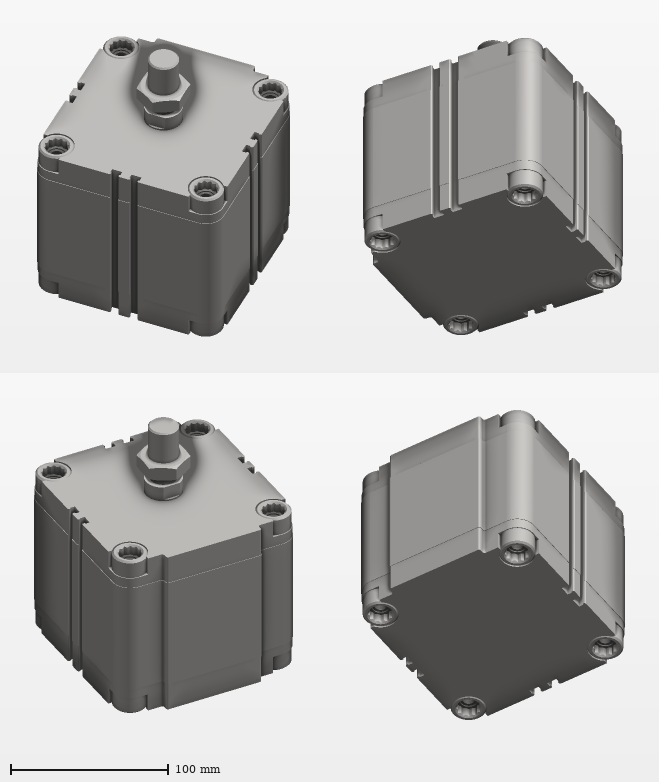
import cadquery as cq
import math

total_height = 166.5
body_width = 128.0
body_height = 116.5
half_width = body_width / 2

cap_height = 19.5
cap_inset = 0.3
screw_offset = 51.6
corner_radius = half_width - screw_offset

rail_height = 5.0
rail_width = 69.0
rail_fillet = 1.5

slot_offset = 6.7
slot_mouth = 5.3
slot_width = 7.0
slot_lip = 2.3
slot_depth = 5.5
slot_mouth_chamfer = 0.7
slot_sides = (-90, 0, 180)

head_diameter = 23.0
head_height = 12.3
head_chamfer = 1.2
pocket_wall = 45.0
socket_rim_diameter = 17.3
socket_tip_diameter = 16.0
socket_depth = 7.3
socket_points = 12
bore_diameter = 8.0
bore_step_diameter = 11.5
bore_step_depth = 0.8

collar_diameter = 25.0
collar_top = 126.9
flat_bottom = 117.7
flat_distance = 22.0
neck_diameter = 18.3
thread_diameter = 20.0
thread_bottom = 130.9
thread_chamfer = 1.0

nut_across_flats = 30.0
nut_height = 10.0
nut_bottom = 133.9
nut_face_diameter = 29.1
nut_chamfer_angle = 20.0


def rail_outline(face):
    """Section of the rail with rounded crests and rounded roots, standing on the +Y face."""
    side = rail_width / 2 - (half_width - face)
    crest = face + rail_height
    bend = rail_fillet * math.sqrt(0.5)
    root_mid = (side + rail_fillet - bend, face + rail_fillet - bend)
    crest_mid = (side - rail_fillet + bend, crest - rail_fillet + bend)
    return (
        cq.Workplane("XY")
        .moveTo(-side - rail_fillet, face)
        .threePointArc((-root_mid[0], root_mid[1]), (-side, face + rail_fillet))
        .lineTo(-side, crest - rail_fillet)
        .threePointArc((-crest_mid[0], crest_mid[1]), (-side + rail_fillet, crest))
        .lineTo(side - rail_fillet, crest)
        .threePointArc(crest_mid, (side, crest - rail_fillet))
        .lineTo(side, face + rail_fillet)
        .threePointArc(root_mid, (side + rail_fillet, face))
        .lineTo(side + rail_fillet, 0)
        .lineTo(-side - rail_fillet, 0)
        .close()
    )


def slot_cutter(face, height):
    """T-slot with a chamfered mouth, cut into the +X face and centred on the X axis."""
    floor = half_width - slot_depth
    lip = half_width - slot_lip
    half_mouth = slot_mouth / 2
    half_slot = slot_width / 2
    half_flare = half_mouth + slot_mouth_chamfer
    upper = [
        (floor, half_slot),
        (lip, half_slot),
        (lip, half_mouth),
        (face - slot_mouth_chamfer, half_mouth),
        (face, half_flare),
    ]
    lower = [(x, -y) for x, y in reversed(upper)]
    return cq.Workplane("XY").polyline(upper + lower).close().extrude(height)


def profile_block(inset, bottom, height):
    """Stretch of the slotted housing profile, its faces moved inwards by the inset."""
    face = half_width - inset
    block = (
        cq.Workplane("XY")
        .rect(2 * face, 2 * face)
        .extrude(height)
        .edges("|Z")
        .fillet(corner_radius - inset)
    )
    block = block.union(rail_outline(face).extrude(height))
    for angle in slot_sides:
        for offset in (-slot_offset, slot_offset):
            slot = slot_cutter(face, height).translate((0, offset, 0))
            block = block.cut(slot.rotate((0, 0, 0), (0, 0, 1), angle))
    return block.translate((0, 0, bottom))


def corner_pocket():
    """Counterbore that the screw head fills, opened to the outside by a square notch in the corner."""
    floor = body_height - head_height
    notch_size = half_width - pocket_wall
    notch = cq.Workplane("XY", origin=(pocket_wall, pocket_wall, floor)).box(
        notch_size, notch_size, head_height, centered=False
    )
    counterbore = (
        cq.Workplane("XY", origin=(screw_offset, screw_offset, floor))
        .circle(head_diameter / 2)
        .extrude(head_height)
    )
    return notch.union(counterbore)


def screw_head():
    """Chamfered cylindrical head in the +X +Y corner of the upper cap."""
    return (
        cq.Workplane("XY", origin=(screw_offset, screw_offset, body_height - head_height))
        .circle(head_diameter / 2)
        .extrude(head_height)
        .faces(">Z")
        .chamfer(head_chamfer)
    )


def socket_cutter():
    """Twelve-point socket: two crossed hexagons, a 45 degree conical rim and a bore step."""
    floor = body_height - socket_depth
    tip_radius = socket_tip_diameter / 2
    half_step = math.pi / socket_points
    root_radius = tip_radius * math.cos(math.pi / 6) / math.cos(half_step)
    star = []
    for i in range(2 * socket_points):
        radius = root_radius if i % 2 else tip_radius
        star.append((radius * math.cos(i * half_step), radius * math.sin(i * half_step)))
    socket = (
        cq.Workplane("XY", origin=(screw_offset, screw_offset, floor))
        .polyline(star)
        .close()
        .extrude(socket_depth)
    )
    rim_radius = socket_rim_diameter / 2
    rim_depth = rim_radius - root_radius
    rim = cq.Workplane(cq.Solid.makeCone(
        root_radius,
        rim_radius,
        rim_depth,
        pnt=cq.Vector(screw_offset, screw_offset, body_height - rim_depth),
    ))
    bore_step = (
        cq.Workplane("XY", origin=(screw_offset, screw_offset, floor - bore_step_depth))
        .circle(bore_step_diameter / 2)
        .extrude(bore_step_depth)
    )
    return socket.union(rim).union(bore_step)


def at_all_corners(feature):
    """Copies of a feature of the +X +Y upper corner at all eight corners."""
    lower = feature.mirror("XY").translate((0, 0, body_height))
    copies = []
    for angle in (0, 90, 180, 270):
        for item in (feature, lower):
            copies.append(item.rotate((0, 0, 0), (0, 0, 1), angle))
    return copies


def make_housing():
    """Tube between two caps, with the screw heads and the through bores in the corners."""
    tube_height = body_height - 2 * cap_height
    housing = profile_block(0, cap_height, tube_height)
    housing = housing.union(profile_block(cap_inset, 0, cap_height))
    housing = housing.union(profile_block(cap_inset, body_height - cap_height, cap_height))
    for pocket in at_all_corners(corner_pocket()):
        housing = housing.cut(pocket)
    for head in at_all_corners(screw_head()):
        housing = housing.union(head)
    for socket in at_all_corners(socket_cutter()):
        housing = housing.cut(socket)
    bores = (
        cq.Workplane("XY")
        .rect(2 * screw_offset, 2 * screw_offset, forConstruction=True)
        .vertices()
        .circle(bore_diameter / 2)
        .extrude(body_height)
    )
    return housing.cut(bores)


def make_rod():
    """Rod end standing on the housing: collar with two flats, neck and chamfered thread."""
    collar_radius = collar_diameter / 2
    neck_radius = neck_diameter / 2
    thread_radius = thread_diameter / 2
    relief = thread_radius - neck_radius
    rod = (
        cq.Workplane("XZ")
        .polyline([
            (0, body_height),
            (collar_radius, body_height),
            (collar_radius, collar_top),
            (neck_radius, collar_top),
            (neck_radius, thread_bottom - relief),
            (thread_radius, thread_bottom),
            (thread_radius, total_height - thread_chamfer),
            (thread_radius - thread_chamfer, total_height),
            (0, total_height),
        ])
        .close()
        .revolve(360, (0, 0, 0), (0, 1, 0))
    )
    flat_height = collar_top - flat_bottom
    flats = (
        cq.Workplane("XY", origin=(0, 0, flat_bottom))
        .rect(2 * collar_diameter, 2 * collar_diameter)
        .rect(2 * collar_diameter, flat_distance)
        .extrude(flat_height)
    )
    return rod.cut(flats)


def make_nut():
    """Hexagon nut, corners pointing along Y and turned down at both ends."""
    corner_diameter = nut_across_flats / math.cos(math.pi / 6)
    tip_radius = corner_diameter / 2
    face_radius = nut_face_diameter / 2
    drop = (tip_radius - face_radius) * math.tan(math.radians(nut_chamfer_angle))
    nut_top = nut_bottom + nut_height
    hexagon = (
        cq.Workplane("XY", origin=(0, 0, nut_bottom))
        .polygon(6, corner_diameter)
        .extrude(nut_height)
        .rotate((0, 0, 0), (0, 0, 1), 90)
    )
    turned = (
        cq.Workplane("XZ")
        .polyline([
            (0, nut_bottom),
            (face_radius, nut_bottom),
            (tip_radius, nut_bottom + drop),
            (tip_radius, nut_top - drop),
            (face_radius, nut_top),
            (0, nut_top),
        ])
        .close()
        .revolve(360, (0, 0, 0), (0, 1, 0))
    )
    bore = (
        cq.Workplane("XY", origin=(0, 0, nut_bottom))
        .circle(thread_diameter / 2)
        .extrude(nut_height)
    )
    return hexagon.intersect(turned).cut(bore)


housing = make_housing()
rod = make_rod()
nut = make_nut()

result = cq.Compound.makeCompound([housing.val(), rod.val(), nut.val()])